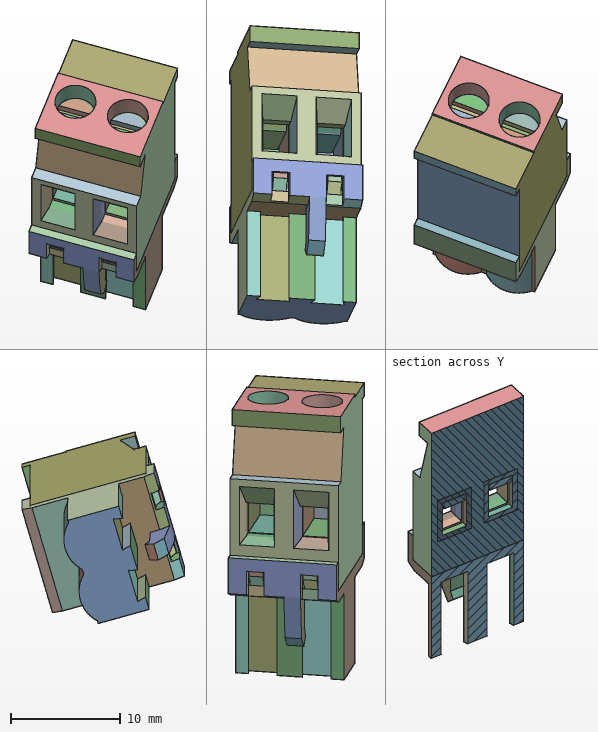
import cadquery as cq

WIDTH = 10.17
DEPTH = 12.6
HEIGHT = 26.0
PITCH = 5.07
POLE_XS = (-PITCH / 2, PITCH / 2)

WALL = 0.78
WALL_TOP = 12.25
TRAY_FLOOR = 9.46
TRAY_BOTTOM = 8.35
TRAY_CHAMFER_DEPTH = 0.95
TRAY_CHAMFER_HEIGHT = 0.45
PLUG_FRONT = 3.38
PLUG_BACK = 8.25
GROOVE_MOUTH = 2.65
GROOVE_FLARE = 0.2
GROOVE_DEPTH = 0.8
RIB_WIDTH = 4.58
RIB_RISE = 0.95
LATCH_WIDTH = 1.55
LATCH_LEFT = 0.13
LATCH_KNEE = (0.52, 4.7)
LATCH_TIP_FRONT = (1.4, 3.72)
LATCH_TIP_BACK = (1.53, 3.65)
LATCH_BARB = (2.37, 4.42)
LATCH_BARB_ROOT = (1.92, 5.12)
LATCH_BACK_Y = 1.85
NOTCH_WIDTH = 1.65
NOTCH_TOP = 11.05

HOUSING_FRONT = WALL
HOUSING_BACK = DEPTH - WALL
LEDGE_Z = 19.65
SLANT_BOTTOM_Y = 1.95
SLANT_TOP_Y = 3.22
CAP_BOTTOM = 24.45
CAP_FRONT = 1.82
CAP_STEP_Y = 8.42
CAP_STEP = 0.25
CATCH_WIDTH = 1.3
CATCH_RISE = 0.55
CATCH_FLAT = 0.52

ENTRY_WIDTH = 3.3
ENTRY_BOTTOM = 13.3
ENTRY_TOP = 18.95
CHANNEL_WIDTH = 2.6
CHANNEL_BOTTOM = 13.73
CHANNEL_TOP = 16.95
FUNNEL_DEPTH = 1.4

SCREW_Y = 5.85
CAGE_LENGTH = 5.15
CAGE_WALL = 0.52
CAGE_GAP = 0.2
CAGE_WIDTH = CHANNEL_WIDTH + 2 * CAGE_WALL
CAGE_BOTTOM = CHANNEL_BOTTOM - CAGE_WALL
CAGE_FRONT = SCREW_Y - CAGE_LENGTH / 2
CHAMBER_LENGTH = CAGE_LENGTH + 2 * CAGE_GAP

CONTACT_WIDTH = 2.35
CONTACT_BOTTOM = 16.6
CONTACT_HEIGHT = 0.78
CONTACT_TOP = CONTACT_BOTTOM + CONTACT_HEIGHT
NOSE_EDGE_RISE = 0.1
NOSE_EDGE_RUN = 0.05
NOSE_RUN = 0.57
CAGE_TOP = CONTACT_TOP + CAGE_WALL

HEAD_DIAMETER = 3.7
HEAD_HOLE_DIAMETER = 3.75
HEAD_TOP = 24.18
HEAD_HEIGHT = 1.55
HEAD_BOTTOM = HEAD_TOP - HEAD_HEIGHT
HEAD_FILLET = 0.29
SHANK_DIAMETER = 2.2
SLOT_WIDTH = 0.7
SLOT_DEPTH = 0.65


def box(x_middle, width, y_front, y_back, z_bottom, z_top):
    """Box centred on x_middle and given by its limits in Y and Z."""
    middle = (x_middle, (y_front + y_back) / 2, (z_bottom + z_top) / 2)
    return cq.Workplane().box(width, y_back - y_front, z_top - z_bottom).translate(middle)


def extrude_profile(points, x_middle, width):
    """Closed (Y, Z) outline extruded along X, centred on x_middle."""
    outline = cq.Workplane("YZ").polyline(points).close()
    return outline.extrude(width / 2, both=True).translate((x_middle, 0, 0))


def upright_cylinder(x, diameter, z_bottom, z_top):
    """Vertical cylinder on the screw axis of the pole at x."""
    circle = cq.Workplane(origin=(x, SCREW_Y, z_bottom)).circle(diameter / 2)
    return circle.extrude(z_top - z_bottom)



def make_tray():
    chamfer_top = TRAY_BOTTOM + TRAY_CHAMFER_HEIGHT
    profile = [
        (0, WALL_TOP),
        (WALL, WALL_TOP),
        (WALL, TRAY_FLOOR),
        (DEPTH - WALL, TRAY_FLOOR),
        (DEPTH - WALL, WALL_TOP),
        (DEPTH, WALL_TOP),
        (DEPTH, chamfer_top),
        (DEPTH - TRAY_CHAMFER_DEPTH, TRAY_BOTTOM),
        (TRAY_CHAMFER_DEPTH, TRAY_BOTTOM),
        (0, chamfer_top),
    ]
    tray = extrude_profile(profile, 0, WIDTH)
    for x in POLE_XS:
        tray = tray.cut(box(x, NOTCH_WIDTH, 0, WALL, TRAY_BOTTOM, NOTCH_TOP))
    return tray


def make_groove(x):
    """Upright dovetail groove, narrowest at its mouth in the front face of the plug."""
    half_mouth = GROOVE_MOUTH / 2
    half_floor = half_mouth + GROOVE_FLARE
    floor_y = PLUG_FRONT + GROOVE_DEPTH
    corners = [
        (x - half_mouth, PLUG_FRONT),
        (x - half_floor, floor_y),
        (x + half_floor, floor_y),
        (x + half_mouth, PLUG_FRONT),
    ]
    return cq.Workplane().polyline(corners).close().extrude(TRAY_BOTTOM)


def make_rib(x):
    """Rounded rib on the back of the plug: a segment of a cylinder."""
    half_width = RIB_WIDTH / 2
    crest = (x, PLUG_BACK + RIB_RISE)
    outline = cq.Workplane().moveTo(x - half_width, PLUG_BACK)
    return outline.threePointArc(crest, (x + half_width, PLUG_BACK)).close().extrude(TRAY_BOTTOM)


def make_plug():
    """Block with one front groove and one rounded back rib for each pole."""
    plug = box(0, WIDTH, PLUG_FRONT, PLUG_BACK, 0, TRAY_BOTTOM)
    for x in POLE_XS:
        plug = plug.cut(make_groove(x)).union(make_rib(x))
    return plug


def make_latch():
    """Hooked arm below the front wall, rooted in the chamfered edge of the tray."""
    profile = [
        (0, TRAY_BOTTOM + TRAY_CHAMFER_HEIGHT),
        LATCH_KNEE,
        LATCH_TIP_FRONT,
        LATCH_TIP_BACK,
        LATCH_BARB,
        LATCH_BARB_ROOT,
        (LATCH_BACK_Y, TRAY_BOTTOM),
        (TRAY_CHAMFER_DEPTH, TRAY_BOTTOM),
    ]
    return extrude_profile(profile, LATCH_LEFT + LATCH_WIDTH / 2, LATCH_WIDTH)


def make_base():
    return make_tray().union(make_plug()).union(make_latch())



def make_housing_block():
    profile = [
        (HOUSING_FRONT, TRAY_FLOOR),
        (HOUSING_FRONT, LEDGE_Z),
        (SLANT_BOTTOM_Y, LEDGE_Z),
        (SLANT_TOP_Y, CAP_BOTTOM),
        (CAP_FRONT, CAP_BOTTOM),
        (CAP_FRONT, HEIGHT),
        (CAP_STEP_Y, HEIGHT),
        (CAP_STEP_Y, HEIGHT - CAP_STEP),
        (DEPTH, HEIGHT - CAP_STEP),
        (DEPTH, CAP_BOTTOM),
        (HOUSING_BACK, CAP_BOTTOM),
        (HOUSING_BACK, TRAY_FLOOR),
    ]
    return extrude_profile(profile, 0, WIDTH)


def make_catch(x):
    """Wedge that snaps into a notch of the tray: flat at the top, sloping back to the housing below."""
    tip = HOUSING_FRONT - CATCH_RISE
    profile = [
        (HOUSING_FRONT, NOTCH_TOP),
        (tip, NOTCH_TOP),
        (tip, NOTCH_TOP - CATCH_FLAT),
        (HOUSING_FRONT, TRAY_FLOOR),
    ]
    return extrude_profile(profile, x, CATCH_WIDTH)


def make_wire_entry(x):
    """Tapered funnel and the straight channel from it to the cage chamber."""
    entry_z = (ENTRY_BOTTOM + ENTRY_TOP) / 2
    channel_z = (CHANNEL_BOTTOM + CHANNEL_TOP) / 2
    channel_start = HOUSING_FRONT + FUNNEL_DEPTH
    chamber_front = SCREW_Y - CHAMBER_LENGTH / 2
    funnel = (
        cq.Workplane("XZ", origin=(x, HOUSING_FRONT, entry_z))
        .rect(ENTRY_WIDTH, ENTRY_TOP - ENTRY_BOTTOM)
        .workplane(offset=-FUNNEL_DEPTH)
        .center(0, channel_z - entry_z)
        .rect(CHANNEL_WIDTH, CHANNEL_TOP - CHANNEL_BOTTOM)
        .loft(ruled=True)
    )
    channel = box(x, CHANNEL_WIDTH, channel_start, chamber_front, CHANNEL_BOTTOM, CHANNEL_TOP)
    return funnel.union(channel)


def make_chamber(x):
    y_front = SCREW_Y - CHAMBER_LENGTH / 2
    return box(x, CAGE_WIDTH, y_front, y_front + CHAMBER_LENGTH, CAGE_BOTTOM, CAGE_TOP)


def make_housing():
    housing = make_housing_block()
    for x in POLE_XS:
        housing = (
            housing.union(make_catch(x))
            .cut(make_wire_entry(x))
            .cut(make_chamber(x))
            .cut(upright_cylinder(x, HEAD_HOLE_DIAMETER, HEAD_BOTTOM, HEIGHT))
            .cut(upright_cylinder(x, SHANK_DIAMETER, CAGE_TOP, HEAD_BOTTOM))
        )
    return housing



def make_screw(x):
    """Slotted cheese-head screw whose shank presses on the contact bar."""
    head = upright_cylinder(x, HEAD_DIAMETER, HEAD_BOTTOM, HEAD_TOP)
    head = head.faces(">Z").edges().fillet(HEAD_FILLET)
    slot_front = SCREW_Y - SLOT_WIDTH / 2
    slot = box(x, HEAD_DIAMETER, slot_front, slot_front + SLOT_WIDTH, HEAD_TOP - SLOT_DEPTH, HEAD_TOP)
    shank = upright_cylinder(x, SHANK_DIAMETER, CONTACT_TOP, HEAD_BOTTOM)
    return head.cut(slot).union(shank)


def make_cage(x):
    """Rectangular tube along Y, its roof bored for the screw."""
    cage_back = CAGE_FRONT + CAGE_LENGTH
    return (
        box(x, CAGE_WIDTH, CAGE_FRONT, cage_back, CAGE_BOTTOM, CAGE_TOP)
        .cut(box(x, CHANNEL_WIDTH, CAGE_FRONT, cage_back, CHANNEL_BOTTOM, CONTACT_TOP))
        .cut(upright_cylinder(x, SHANK_DIAMETER, CONTACT_TOP, CAGE_TOP))
    )


def make_contact(x):
    """Flat bar through the cage with a nose that slopes up towards the wire entry."""
    back = CAGE_FRONT + CAGE_LENGTH
    nose_edge_y = CAGE_FRONT + NOSE_RUN
    profile = [
        (CAGE_FRONT, CONTACT_TOP),
        (nose_edge_y, CONTACT_BOTTOM + NOSE_EDGE_RISE),
        (nose_edge_y + NOSE_EDGE_RUN, CONTACT_BOTTOM),
        (back, CONTACT_BOTTOM),
        (back, CONTACT_TOP),
    ]
    return extrude_profile(profile, x, CONTACT_WIDTH)


base = make_base()
housing = make_housing()
screws = [make_screw(x).val() for x in POLE_XS]
cages = [make_cage(x).val() for x in POLE_XS]
contacts = [make_contact(x).val() for x in POLE_XS]

result = cq.Compound.makeCompound([base.val(), housing.val(), *screws, *cages, *contacts])